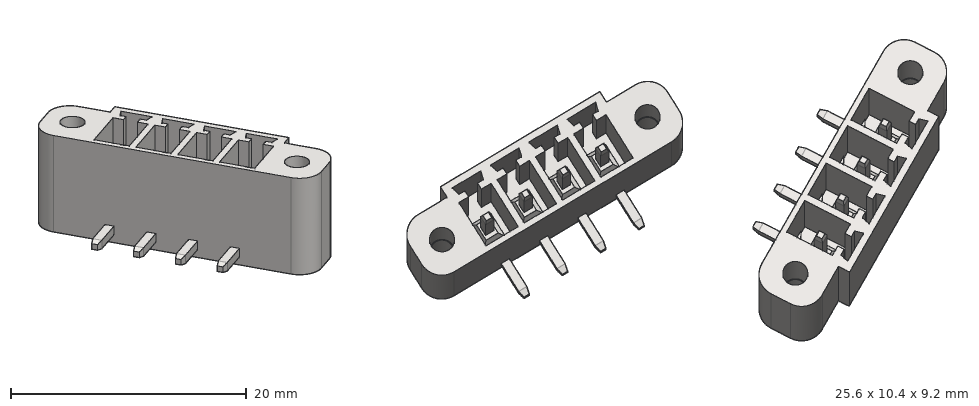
import cadquery as cq

length = 25.63
height = 9.2
flange_depth = 5.85
corner_radius = 2.0
block_length = 15.86
block_depth = 6.92
block_edge_radius = 0.33
mid_depth = flange_depth / 2

hole_spacing = 20.45
hole_diameter = 2.0
hole_entry_diameter = 2.13
hole_entry_depth = height / 2

pole_count = 4
outer_pole_spacing = 11.43
pitch = outer_pole_spacing / (pole_count - 1)
floor_height = 2.2
cavity_width = 3.2
cavity_front = 0.5
cavity_back = 4.92
neck_width = 1.28
dovetail_front = 5.54
dovetail_back = 6.3
dovetail_front_width = 2.43
dovetail_back_width = 2.85

collar_base_width = 2.1
collar_base_depth = 2.35
collar_top_width = 1.2
collar_top_depth = 1.56
collar_height = 0.72
step_width = 1.8
step_bulge = 0.3

pin_size = 0.82
pin_tip_size = 0.55
pin_top = 7.7
pin_top_taper = 0.65
solder_height = 1.18
solder_length = 3.49
solder_taper = 0.65

pole_positions = [(i - (pole_count - 1) / 2) * pitch for i in range(pole_count)]


def make_housing():
    flange = (
        cq.Workplane("XY")
        .center(0, mid_depth)
        .rect(length, flange_depth)
        .extrude(height)
        .edges("|Z")
        .fillet(corner_radius)
    )
    block = (
        cq.Workplane("XY")
        .center(0, block_depth / 2)
        .rect(block_length, block_depth)
        .extrude(height)
        .edges(">Y and <Z")
        .fillet(block_edge_radius)
    )
    return flange.union(block)


def cut_mounting_holes(housing):
    return (
        housing.faces(">Z")
        .workplane(origin=(0, mid_depth, height))
        .pushPoints([(-hole_spacing / 2, 0), (hole_spacing / 2, 0)])
        .cboreHole(hole_diameter, hole_entry_diameter, hole_entry_depth)
    )


def make_cavity():
    right_side = [
        (cavity_width / 2, cavity_front),
        (cavity_width / 2, cavity_back),
        (neck_width / 2, cavity_back),
        (neck_width / 2, dovetail_front),
        (dovetail_front_width / 2, dovetail_front),
        (dovetail_back_width / 2, dovetail_back),
    ]
    left_side = [(-x, y) for x, y in reversed(right_side)]
    return (
        cq.Workplane("XY", origin=(0, 0, floor_height))
        .polyline(right_side + left_side)
        .close()
        .extrude(height - floor_height)
    )


def make_collar():
    return (
        cq.Workplane("XY", origin=(0, mid_depth, floor_height))
        .rect(collar_base_width, collar_base_depth)
        .workplane(offset=collar_height)
        .rect(collar_top_width, collar_top_depth)
        .loft(ruled=True)
    )


def make_front_step():
    return (
        cq.Workplane("XY", origin=(0, cavity_front, floor_height))
        .moveTo(-step_width / 2, 0)
        .threePointArc((0, step_bulge), (step_width / 2, 0))
        .close()
        .extrude(collar_height)
    )


def make_bar(start, length_before_tip, tip_length):
    """Square bar grown from a workplane, ending in a tapered tip."""
    shank = start.rect(pin_size, pin_size).extrude(length_before_tip)
    tip = (
        start.workplane(offset=length_before_tip)
        .rect(pin_size, pin_size)
        .workplane(offset=tip_length)
        .rect(pin_tip_size, pin_tip_size)
        .loft(ruled=True)
    )
    return shank.union(tip)


def make_pin():
    bend_bottom = solder_height - pin_size / 2
    contact = make_bar(
        cq.Workplane("XY", origin=(0, mid_depth, bend_bottom)),
        pin_top - pin_top_taper - bend_bottom,
        pin_top_taper,
    )
    solder_leg = make_bar(
        cq.Workplane("XZ", origin=(0, mid_depth, solder_height)),
        mid_depth + solder_length - solder_taper,
        solder_taper,
    )
    return contact.union(solder_leg)


result = cut_mounting_holes(make_housing())
cavity = make_cavity()
inserts = make_collar().union(make_front_step()).union(make_pin())
for x in pole_positions:
    result = result.cut(cavity.translate((x, 0, 0)))
    result = result.union(inserts.translate((x, 0, 0)))